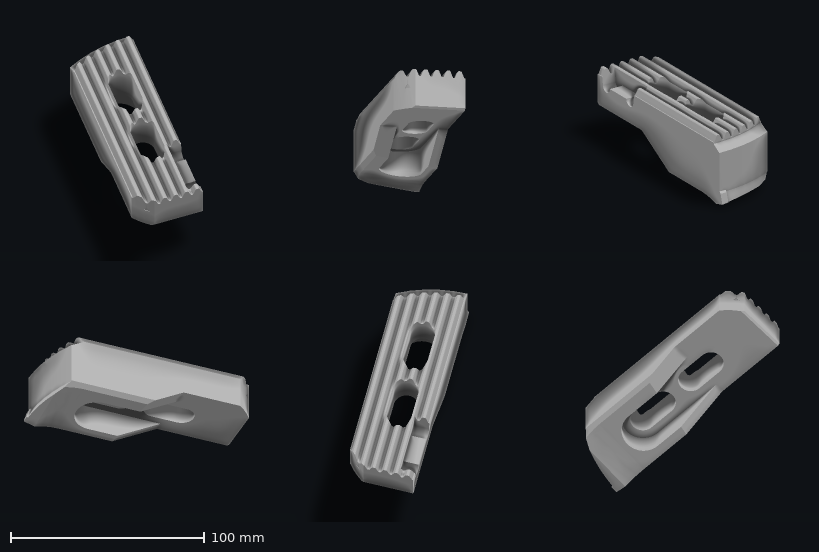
import cadquery as cq
import math


LENGTH = 115.5
WIDTH = 36.0
HEIGHT = 37.4

NOSE_X = 2.8
NOSE_RADIUS = 77.0
NOSE_AXIS_X = NOSE_X + NOSE_RADIUS
NOSE_SETBACK = 5.3
NOSE_SLOPE_BOTTOM = 29.8
NOSE_SLOPE_TOP = 33.0
LIP_TOP = 7.2
LIP_TIP = 1.2
LIP_FLARE = 2.3

CORNER_X = 9.0
CORNER_Y = 9.5
CORNER_BULGE = 0.6
TAIL_BOTTOM = 16.7
RAMP_END_X = 74.7
RAMP_ANGLE = 30.0
RAMP_FILLET = 3.5
TAIL_CHAMFER = 1.0

UNDERSIDE_Z = 5.7
UNDERSIDE_TILT = 5.5
UNDERSIDE_DROP = WIDTH * math.tan(math.radians(UNDERSIDE_TILT))
HOLLOW_START_X = 19.3
HOLLOW_END_X = 6.1
HOLLOW_DEPTH_BACK = UNDERSIDE_Z - UNDERSIDE_DROP
HOLLOW_DEPTH_FRONT = 1.3
LIP_RISE = 1.5
EDGE_CHAMFER_Z = 7.6

TOOTH_COUNT = 6
TOOTH_PITCH = WIDTH / TOOTH_COUNT
TOOTH_HEIGHT = 3.7
TOOTH_CREST = 1.4
TOOTH_SHOULDER = 2.1
TOOTH_CREST_CHAMFER = 0.3
ROOT_WIDTH = 1.0

SLOT_Y = 20.0
SLOT_WIDTH = 13.2
SLOT_LENGTH = 27.5
SLOT_CENTERS = (40.9, 74.8)
HEAD_WIDTH = 22.2

POCKET_X = 96.6
POCKET_DEPTH_Y = 8.0
POCKET_LENGTH = 30.7
POCKET_FLOOR_DEPTH = 8.1
POCKET_GROOVE_X = 10.9
POCKET_GROOVE_RADIUS = 3.2

ARROW_X = 112.8
ARROW_Y = 6.0
ARROW_POINT_Z = 30.0
ARROW_BASE_Z = 27.6
ARROW_WIDTH = 3.3
ARROW_STEM_WIDTH = 0.2
ARROW_DEPTH = 0.2

INSERT_WIDTH = 3.8
INSERT_TOP = 8.1
INSERT_TOP_X = 2.5
INSERT_EDGE_X = 1.6
INSERT_EDGE_Z = 7.2
INSERT_LAND_TOP = 2.0
INSERT_BACK_X = 4.2

CUT_MARGIN = 5.8


def turned_nose():
    """Turned blank that gives the curved nose, its upper slope and the flared lip."""
    tip_radius = NOSE_RADIUS + LIP_FLARE
    flare_slope = LIP_FLARE / (LIP_TOP - LIP_TIP)
    top_radius = NOSE_RADIUS - NOSE_SETBACK
    profile = [
        (0, 0),
        (tip_radius + LIP_TIP * flare_slope, 0),
        (NOSE_RADIUS, LIP_TOP),
        (NOSE_RADIUS, NOSE_SLOPE_BOTTOM),
        (top_radius, NOSE_SLOPE_TOP),
        (top_radius, HEIGHT),
        (0, HEIGHT),
    ]
    turned = cq.Workplane("XZ").polyline(profile).close().revolve(360, (0, 0), (0, 1))
    return turned.translate((NOSE_AXIS_X, WIDTH, 0))


def footprint():
    """Plan outline with the bowed rear corner."""
    corner_length = math.hypot(CORNER_X, CORNER_Y)
    corner_bow = (
        LENGTH - CORNER_X / 2 + CORNER_BULGE * CORNER_Y / corner_length,
        CORNER_Y / 2 - CORNER_BULGE * CORNER_X / corner_length,
    )
    outline = (
        cq.Workplane("XY")
        .lineTo(LENGTH - CORNER_X, 0)
        .threePointArc(corner_bow, (LENGTH, CORNER_Y))
        .lineTo(LENGTH, WIDTH)
        .lineTo(0, WIDTH)
        .close()
    )
    return outline.extrude(HEIGHT)


def underside_profile(y, flat_z, hollow_depth):
    """Region below the jaw at one Y, with the hollow behind the lip."""
    chord = HOLLOW_START_X - HOLLOW_END_X
    radius = (chord**2 + hollow_depth**2) / (2 * hollow_depth)
    mid_sag = radius - math.sqrt(radius**2 - (chord / 2) ** 2)
    mid_x = (HOLLOW_START_X + HOLLOW_END_X) / 2
    low_z = flat_z - hollow_depth
    return (
        cq.Workplane("XZ", origin=(0, y, 0))
        .moveTo(LENGTH, flat_z)
        .lineTo(HOLLOW_START_X, flat_z)
        .threePointArc((mid_x, flat_z - mid_sag), (HOLLOW_END_X, low_z))
        .lineTo(0, low_z + LIP_RISE)
        .lineTo(-CUT_MARGIN, low_z + LIP_RISE)
        .lineTo(-CUT_MARGIN, -CUT_MARGIN)
        .lineTo(LENGTH, -CUT_MARGIN)
        .close()
        .val()
    )


def underside_cutter():
    """Everything below the sloping underside."""
    front = underside_profile(0, UNDERSIDE_Z, HOLLOW_DEPTH_FRONT)
    back = underside_profile(WIDTH, UNDERSIDE_Z - UNDERSIDE_DROP, HOLLOW_DEPTH_BACK)
    return cq.Workplane(cq.Solid.makeLoft([front, back], True))


def edge_chamfer_cutter():
    """45 degree chamfer along the lower -Y edge."""
    profile = [(0, EDGE_CHAMFER_Z), (EDGE_CHAMFER_Z, 0), (0, 0)]
    return cq.Workplane("YZ").polyline(profile).close().extrude(LENGTH)


def tail_cutter():
    """Space under the tail and its ramp."""
    run = TAIL_BOTTOM / math.tan(math.radians(RAMP_ANGLE))
    profile = [
        (RAMP_END_X - run, 0),
        (RAMP_END_X, TAIL_BOTTOM),
        (LENGTH - TAIL_CHAMFER, TAIL_BOTTOM),
        (LENGTH, TAIL_BOTTOM + TAIL_CHAMFER),
        (LENGTH + CUT_MARGIN, TAIL_BOTTOM + TAIL_CHAMFER),
        (LENGTH + CUT_MARGIN, 0),
    ]
    cutter = cq.Workplane("XZ").polyline(profile).close().extrude(-WIDTH)
    ramp_edge = cq.selectors.NearestToPointSelector((RAMP_END_X, WIDTH / 2, TAIL_BOTTOM))
    return cutter.edges(ramp_edge).fillet(RAMP_FILLET)


def tooth_gap(y):
    """One gap between teeth, with the crest chamfers on both sides."""
    root_z = HEIGHT - TOOTH_HEIGHT
    half_root = ROOT_WIDTH / 2
    half_shoulder = (TOOTH_PITCH - TOOTH_SHOULDER) / 2
    half_top = (TOOTH_PITCH - TOOTH_CREST) / 2
    shoulder_z = HEIGHT - TOOTH_CREST_CHAMFER
    profile = [
        (y - half_root, root_z),
        (y + half_root, root_z),
        (y + half_shoulder, shoulder_z),
        (y + half_top, HEIGHT),
        (y - half_top, HEIGHT),
        (y - half_shoulder, shoulder_z),
    ]
    return cq.Workplane("YZ").polyline(profile).close().extrude(LENGTH)


def bolt_slots():
    """Two through slots for the clamping bolts."""
    return (
        cq.Workplane("XY")
        .pushPoints([(x, SLOT_Y) for x in SLOT_CENTERS])
        .slot2D(SLOT_LENGTH, SLOT_WIDTH)
        .extrude(HEIGHT)
    )


def head_recess():
    """Long recess under both slots, up to the level of the tail bottom."""
    first_x, last_x = SLOT_CENTERS
    length = last_x - first_x + SLOT_LENGTH - SLOT_WIDTH + HEAD_WIDTH
    return (
        cq.Workplane("XY")
        .center((first_x + last_x) / 2, SLOT_Y)
        .slot2D(length, HEAD_WIDTH)
        .extrude(TAIL_BOTTOM)
    )


def key_pocket():
    """Pocket with tapered ends and a round groove at each end of its floor."""
    start = cq.Workplane("XZ", origin=(POCKET_X, WIDTH - POCKET_DEPTH_Y, HEIGHT))
    half_top = POCKET_LENGTH / 2
    half_floor = POCKET_GROOVE_X + POCKET_GROOVE_RADIUS
    outline = [
        (-half_top, 0),
        (half_top, 0),
        (half_floor, -POCKET_FLOOR_DEPTH),
        (-half_floor, -POCKET_FLOOR_DEPTH),
    ]
    pocket = start.polyline(outline).close().extrude(-POCKET_DEPTH_Y)
    groove_centers = [(side * POCKET_GROOVE_X, -POCKET_FLOOR_DEPTH) for side in (-1, 1)]
    grooves = start.pushPoints(groove_centers).circle(POCKET_GROOVE_RADIUS).extrude(-POCKET_DEPTH_Y)
    return pocket.union(grooves)


def index_arrow():
    """Shallow arrow on the rear corner, its stem reaching up to a tooth root."""
    face = cq.Plane(
        origin=(ARROW_X, ARROW_Y, 0),
        xDir=(CORNER_X, CORNER_Y, 0),
        normal=(CORNER_Y, -CORNER_X, 0),
    )
    half_base = ARROW_WIDTH / 2
    half_stem = ARROW_STEM_WIDTH / 2
    outline = [
        (-half_base, ARROW_BASE_Z),
        (half_base, ARROW_BASE_Z),
        (half_stem, ARROW_POINT_Z),
        (half_stem, HEIGHT),
        (-half_stem, HEIGHT),
        (-half_stem, ARROW_POINT_Z),
    ]
    return cq.Workplane(face).polyline(outline).close().extrude(ARROW_DEPTH, both=True)


def make_insert():
    """Insert block whose front face stands just proud of the lip."""
    profile = [
        (0, 0),
        (0, INSERT_LAND_TOP),
        (INSERT_EDGE_X, INSERT_EDGE_Z),
        (INSERT_TOP_X, INSERT_TOP),
        (INSERT_BACK_X, INSERT_TOP),
        (INSERT_BACK_X, 0),
    ]
    block = cq.Workplane("XZ", origin=(0, WIDTH - INSERT_WIDTH, 0)).polyline(profile).close()
    return block.extrude(-INSERT_WIDTH).cut(underside_cutter())


def make_jaw(insert):
    """Jaw body with all cuts and the seat for the insert."""
    jaw = turned_nose().intersect(footprint())
    jaw = jaw.cut(underside_cutter()).cut(edge_chamfer_cutter()).cut(tail_cutter())
    for gap in range(TOOTH_COUNT + 1):
        jaw = jaw.cut(tooth_gap(gap * TOOTH_PITCH))
    jaw = jaw.cut(bolt_slots()).cut(head_recess()).cut(key_pocket()).cut(index_arrow())
    return jaw.cut(insert)


insert = make_insert()
jaw = make_jaw(insert)

result = cq.Compound.makeCompound([jaw.val(), insert.val()])